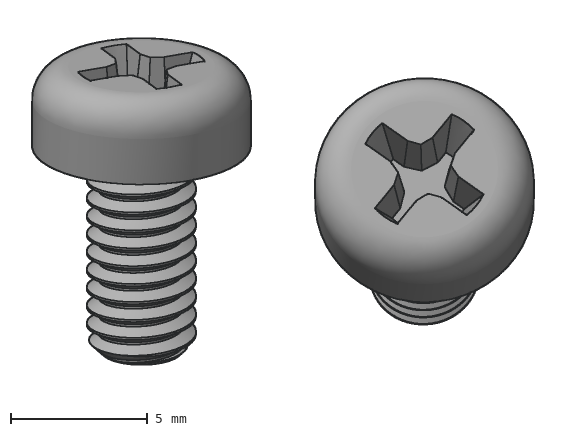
import cadquery as cq
import math

total_length = 11.1
head_diameter = 8.0
head_height = 3.1
head_round = 1.32
shank_length = total_length - head_height

major_radius = 4.0 / 2
minor_radius = 3.1 / 2
pitch = 0.7
crest_width = pitch / 8
flank_slope = math.tan(math.radians(30))
crest_drop = 0.43
groove_overrun = 0.03
tip_radius = 1.48

recess_depth = 2.0
wing_reach_top = 2.38
wing_reach_floor = 1.64
wing_half_width_top = 0.51
wing_half_width_floor = 0.25
wing_root_top = 1.17
wing_root_floor = 1.13
inner_corner_top = 0.69
inner_corner_floor = 0.52


def make_head():
    head = cq.Workplane("XY").circle(head_diameter / 2).extrude(head_height)
    return head.faces(">Z").edges().fillet(head_round)


def cross_points(reach, half_width, root, corner):
    """Outline of a four-winged cross with a bevelled inner corner in each quadrant."""
    quadrant = [
        (reach, -half_width),
        (reach, half_width),
        (root, half_width),
        (corner, corner),
        (half_width, root),
    ]
    points = []
    for turn in range(4):
        c = round(math.cos(turn * math.pi / 2))
        s = round(math.sin(turn * math.pi / 2))
        points += [(c * x - s * y, s * x + c * y) for x, y in quadrant]
    return points


def make_recess():
    floor_z = head_height - recess_depth
    cross = (
        cq.Workplane("XY", origin=(0, 0, floor_z))
        .polyline(cross_points(wing_reach_top, wing_half_width_floor, wing_root_floor, inner_corner_floor))
        .close()
        .workplane(offset=recess_depth)
        .polyline(cross_points(wing_reach_top, wing_half_width_top, wing_root_top, inner_corner_top))
        .close()
        .loft(ruled=True)
    )
    cone = (
        cq.Workplane("XY", origin=(0, 0, floor_z))
        .circle(wing_reach_floor)
        .workplane(offset=recess_depth)
        .circle(wing_reach_top)
        .loft()
    )
    return cross.intersect(cone)


def make_thread_groove():
    """Helical V groove running past both ends of the shank, closed from ruled helical faces."""
    turns = math.ceil(shank_length / pitch) + 1
    height = turns * pitch
    start_z = pitch / 2 - crest_drop - (turns - 1) * pitch
    outer_radius = major_radius + groove_overrun
    outer_half = (pitch - crest_width) / 2 + groove_overrun * flank_slope
    root_half = outer_half - (outer_radius - minor_radius) * flank_slope
    section = [
        (minor_radius, start_z - root_half),
        (outer_radius, start_z - outer_half),
        (outer_radius, start_z + outer_half),
        (minor_radius, start_z + root_half),
    ]
    helices = [cq.Wire.makeHelix(pitch, height, radius, center=cq.Vector(0, 0, z)) for radius, z in section]
    faces = []
    for lower, upper in zip(helices, helices[1:] + helices[:1]):
        faces.append(cq.Face.makeRuledSurface(lower, upper))
    for rise in (0, height):
        corners = [cq.Vector(radius, 0, z + rise) for radius, z in section]
        faces.append(cq.Face.makeFromWires(cq.Wire.makePolygon(corners, close=True)))
    return cq.Solid.makeSolid(cq.Shell.makeShell(faces))


def make_shank():
    tip_chamfer = major_radius - tip_radius
    shank = (
        cq.Workplane("XY")
        .circle(major_radius)
        .extrude(-shank_length)
        .faces("<Z")
        .chamfer(tip_chamfer)
    )
    shank = shank.rotate((0, 0, 0), (0, 0, 1), 180)
    return shank.cut(make_thread_groove())


result = make_head().cut(make_recess()).union(make_shank())